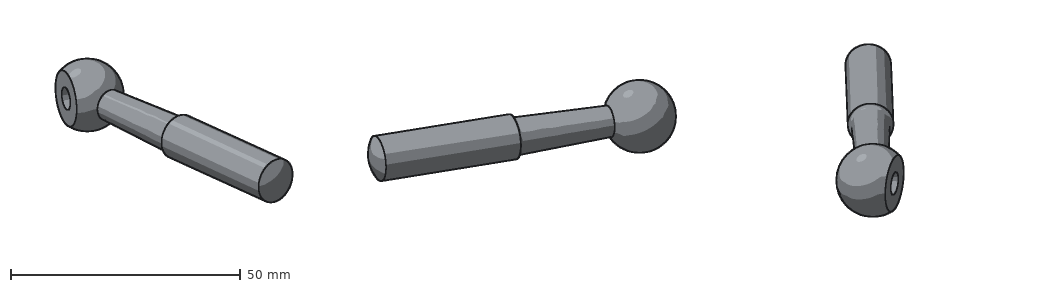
import cadquery as cq
import math

ball_diameter = 16.0
ball_radius = ball_diameter / 2
flat_offset = 5.0

hole_diameter = 5.0
hole_depth = 6.8
drill_point_angle = 118.0

lever_angle = 20.0
neck_ball_diameter = 7.0
neck_ball_distance = 6.8
grip_diameter = 10.0
grip_start = 29.75
grip_end = 61.4
shoulder_fillet = 0.8
dome_height = 1.7


def make_ball():
    """Sphere at the origin, cut flat on the -Y side."""
    ball = cq.Workplane("XY").sphere(ball_radius)
    keep = cq.Workplane("XY").box(
        ball_diameter, ball_radius + flat_offset, ball_diameter
    ).translate((0, (ball_radius - flat_offset) / 2, 0))
    return ball.intersect(keep)


def make_lever():
    """Tapered neck and domed grip, revolved about X and swung towards +Y."""
    grip_radius = grip_diameter / 2
    neck_end = grip_start - shoulder_fillet
    fillet_reach = shoulder_fillet * math.sqrt(0.5)
    fillet_middle = (neck_end + fillet_reach, grip_radius - fillet_reach)
    profile = (
        cq.Workplane("XY")
        .lineTo(0, neck_ball_diameter / 2)
        .lineTo(neck_ball_distance, neck_ball_diameter / 2)
        .lineTo(neck_end, grip_radius - shoulder_fillet)
        .threePointArc(fillet_middle, (grip_start, grip_radius))
        .lineTo(grip_end, grip_radius)
    )
    dome_radius = (grip_radius**2 + dome_height**2) / (2 * dome_height)
    dome_centre = grip_end + dome_height - dome_radius
    half_angle = math.asin(grip_radius / dome_radius) / 2
    dome_middle = (
        dome_centre + dome_radius * math.cos(half_angle),
        dome_radius * math.sin(half_angle),
    )
    profile = profile.threePointArc(dome_middle, (grip_end + dome_height, 0)).close()
    lever = profile.revolve(360, (0, 0, 0), (1, 0, 0))
    return lever.rotate((0, 0, 0), (0, 0, 1), lever_angle)


def make_hole():
    """Drilled hole along +Y from the flat, ending in a conical point."""
    hole_radius = hole_diameter / 2
    point_length = hole_radius / math.tan(math.radians(drill_point_angle / 2))
    hole_bottom = hole_depth - flat_offset
    return (
        cq.Workplane("XY")
        .moveTo(0, -flat_offset)
        .lineTo(hole_radius, -flat_offset)
        .lineTo(hole_radius, hole_bottom)
        .lineTo(0, hole_bottom + point_length)
        .close()
        .revolve(360, (0, 0, 0), (0, 1, 0))
    )


result = make_ball().union(make_lever()).cut(make_hole())